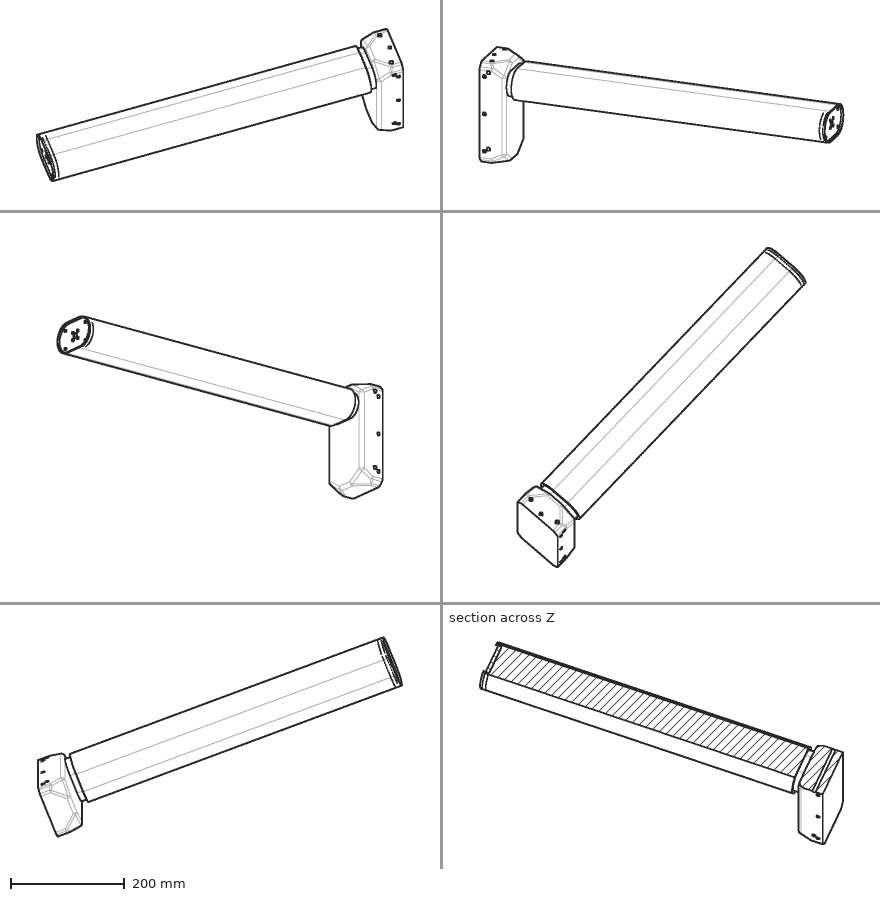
import cadquery as cq

TOTAL_LENGTH = 650.0

HEAD_WIDTH = 96.0
HEAD_HEIGHT = 190.0
HEAD_DEPTH = 48.0
HEAD_TOP = 42.0
HEAD_CHAMFER = 10.0
EDGE_RADIUS = 6.5
FACET_X = 36.0
FACET_Y = 40.0
FACET_Z = 23.0

MOUNT_DIAMETER = 6.0
BLIND_DEPTH = 6.5
MOUNT_INSET = 9.0
MOUNT_SPACING = 70.0

LARGE_DIAMETER = 6.5
LARGE_INSET = 17.0
TOP_HOLE_PITCH = 62.5
UPPER_CROSS_DROP = 16.0
LOWER_CROSS_RISE = 30.0

FLAT_WIDTH = 34.5
NECK_HEIGHT = 47.5
NECK_LENGTH = 11.0
TUBE_HEIGHT = 58.0
RIM_WALL = 2.0

PLATE_SETBACK = 4.0
PLATE_THICKNESS = 6.5
PLATE_HOLE_DEPTH = 2.0
CENTRE_HOLE_DIAMETER = 10.0
SMALL_HOLE_DIAMETER = 4.5
INNER_HOLE_PITCH = 13.5
OUTER_HOLE_PITCH_X = 57.0
OUTER_HOLE_PITCH_Z = 34.0

HEAD_BOTTOM = HEAD_TOP - HEAD_HEIGHT
HEAD_MIDDLE = HEAD_TOP - HEAD_HEIGHT / 2
TUBE_END = HEAD_DEPTH - TOTAL_LENGTH
PLATE_FACE = TUBE_END + PLATE_SETBACK
PLATE_BACK = PLATE_FACE + PLATE_THICKNESS
PLATE_HEIGHT = TUBE_HEIGHT - 2 * RIM_WALL


def stadium(height, y_start, y_end):
    """Bar along Y with flat top and bottom and half-round sides."""
    plane = cq.Workplane("XZ", origin=(0, y_end, 0))
    return plane.slot2D(FLAT_WIDTH + height, height).extrude(y_end - y_start)


def corner_facet(side, end):
    """Tetrahedron that cuts one front corner; side and end are +1 or -1."""
    corner = cq.Vector(side * HEAD_WIDTH / 2, 0, HEAD_MIDDLE + end * HEAD_HEIGHT / 2)
    tips = [
        corner + cq.Vector(-side * FACET_X, 0, 0),
        corner + cq.Vector(0, FACET_Y, 0),
        corner + cq.Vector(0, 0, -end * FACET_Z),
    ]
    triangles = [tips, [corner, tips[0], tips[1]], [corner, tips[1], tips[2]], [corner, tips[2], tips[0]]]
    faces = [cq.Face.makeFromWires(cq.Wire.makePolygon(points, close=True)) for points in triangles]
    return cq.Solid.makeSolid(cq.Shell.makeShell(faces)).fix()


def head_blank():
    """Housing block with chamfered, faceted and rounded corners."""
    blank = cq.Workplane("XY").box(HEAD_WIDTH, HEAD_DEPTH, HEAD_HEIGHT)
    blank = blank.edges("|Y").chamfer(HEAD_CHAMFER)
    blank = blank.translate((0, HEAD_DEPTH / 2, HEAD_MIDDLE))
    for side in (-1, 1):
        for end in (-1, 1):
            blank = blank.cut(cq.Workplane(corner_facet(side, end)))
    return blank.edges("not(>Y)").fillet(EDGE_RADIUS)


def drilled(diameter, depth, start, direction):
    """Round cutter that begins at a point and runs along a direction."""
    return cq.Workplane(cq.Solid.makeCylinder(diameter / 2, depth, cq.Vector(*start), cq.Vector(*direction)))


def make_housing():
    housing = head_blank()
    mount_y = HEAD_DEPTH - MOUNT_INSET
    large_y = HEAD_DEPTH - LARGE_INSET

    for side in (-1, 1):
        for step in (-1, 0, 1):
            start = (side * HEAD_WIDTH / 2, mount_y, HEAD_MIDDLE + step * MOUNT_SPACING)
            housing = housing.cut(drilled(MOUNT_DIAMETER, BLIND_DEPTH, start, (-side, 0, 0)))
    housing = housing.cut(drilled(MOUNT_DIAMETER, BLIND_DEPTH, (0, mount_y, HEAD_TOP), (0, 0, -1)))

    for side in (-1, 1):
        start = (side * TOP_HOLE_PITCH / 2, large_y, HEAD_TOP)
        housing = housing.cut(drilled(LARGE_DIAMETER, BLIND_DEPTH, start, (0, 0, -1)))
    for height in (HEAD_TOP - UPPER_CROSS_DROP, HEAD_BOTTOM + LOWER_CROSS_RISE):
        start = (-HEAD_WIDTH / 2, large_y, height)
        housing = housing.cut(drilled(LARGE_DIAMETER, HEAD_WIDTH, start, (1, 0, 0)))
    return housing


def make_neck():
    return stadium(NECK_HEIGHT, PLATE_BACK, 0)


def make_tube():
    tube = stadium(TUBE_HEIGHT, TUBE_END, -NECK_LENGTH)
    neck_bore = stadium(NECK_HEIGHT, TUBE_END, -NECK_LENGTH)
    plate_recess = stadium(PLATE_HEIGHT, TUBE_END, PLATE_BACK)
    return tube.cut(neck_bore).cut(plate_recess)


def make_end_plate():
    plate = stadium(PLATE_HEIGHT, PLATE_FACE, PLATE_BACK)
    face = cq.Workplane("XZ", origin=(0, PLATE_FACE, 0))
    centre_hole = face.circle(CENTRE_HOLE_DIAMETER / 2).extrude(-PLATE_HOLE_DEPTH)
    plate = plate.cut(centre_hole)
    for pitch_x, pitch_z in (
        (INNER_HOLE_PITCH, INNER_HOLE_PITCH),
        (OUTER_HOLE_PITCH_X, OUTER_HOLE_PITCH_Z),
    ):
        square = face.rect(pitch_x, pitch_z, forConstruction=True).vertices()
        plate = plate.cut(square.circle(SMALL_HOLE_DIAMETER / 2).extrude(-PLATE_HOLE_DEPTH))
    return plate


housing = make_housing()
neck = make_neck()
tube = make_tube()
end_plate = make_end_plate()

bodies = [housing, neck, tube, end_plate]
result = cq.Compound.makeCompound([body.solids().val() for body in bodies])